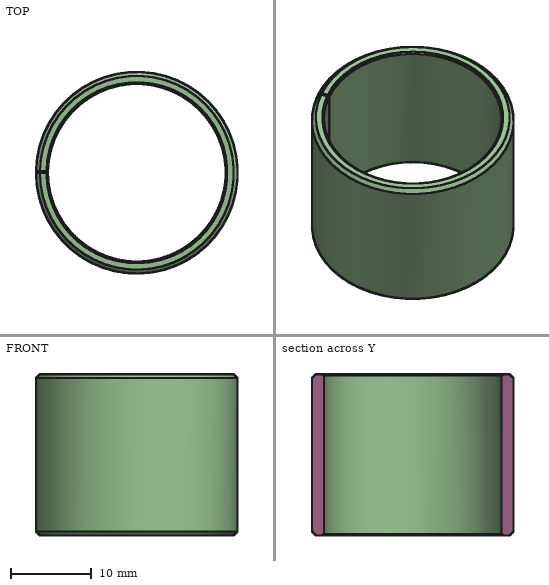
import cadquery as cq

outer_radius = 12.5
wall = 1.5
height = 20.0
inner_radius = outer_radius - wall
half_height = height / 2

outer_chamfer = 0.5
inner_chamfer = 0.2

slit_angle = 1.0


def wall_section():
    """Wall profile on the -X side, in the XZ plane, chamfered at all four corners."""
    outer_end = outer_radius - outer_chamfer
    inner_end = inner_radius + inner_chamfer
    outer_shoulder = half_height - outer_chamfer
    inner_shoulder = half_height - inner_chamfer
    points = [
        (-inner_end, -half_height),
        (-outer_end, -half_height),
        (-outer_radius, -outer_shoulder),
        (-outer_radius, outer_shoulder),
        (-outer_end, half_height),
        (-inner_end, half_height),
        (-inner_radius, inner_shoulder),
        (-inner_radius, -inner_shoulder),
    ]
    return cq.Workplane("XZ").polyline(points).close()


result = wall_section().revolve(360 - slit_angle, (0, 0), (0, 1))